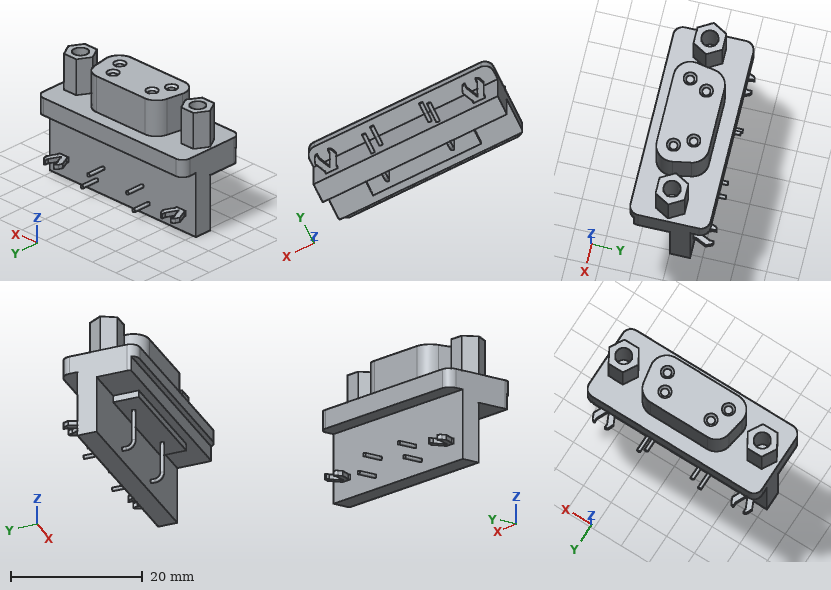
import cadquery as cq
import math


flange_length = 31.2
flange_front = -6.1
flange_back = 6.4
flange_corner_radius = 1.5
flange_front_thickness = 2.05
flange_back_thickness = 3.0
body_front = -5.25
body_depth = 4.52

foot_front = 0.4
foot_back = 3.55
foot_bottom = -14.0

insert_length = 18.3
insert_front = -3.85
insert_bottom = -5.65

shell_height = 6.18
shell_depth = 8.05
shell_side_angle = 10.0
shell_mean_width = 16.05
shell_corner_radius = 2.6

standoff_spacing = 25.0
standoff_across_flats = 4.52
standoff_bore = 2.62

row_pitch = 2.85
front_row_spacing = 11.0
back_row_spacing = 8.3
countersink_diameter = 2.03
countersink_floor_diameter = 1.25
pin_diameter = 0.6
pin_bend_radius = 1.15
tail_end = 6.77
front_tail_z = -11.95
back_tail_z = -9.42

clip_z = -10.7
clip_thickness = 0.78
clip_leg_angle = 25.0
clip_shoulder_offset = 1.5
clip_shoulder_angle = 22.0
clip_root_y = 3.95
clip_barb_y = 5.68
clip_shoulder_y = flange_back
clip_gap_half_width = 0.9
clip_gap_straight_y = 6.1

EMBED = 0.3


def block(x_size, y_range, z_range):
    """Box centred on X that fills the given Y and Z ranges."""
    y_min, y_max = y_range
    z_min, z_max = z_range
    return (
        cq.Workplane("XY")
        .box(x_size, y_max - y_min, z_max - z_min, centered=(True, False, False))
        .translate((0, y_min, z_min))
    )


def make_body():
    """Flange with a stepped underside, the foot and the insert."""
    flange = block(flange_length, (flange_front, flange_back), (-body_depth, 0))
    flange = flange.edges("|Z").fillet(flange_corner_radius)
    front_step = block(flange_length, (flange_front, body_front), (-body_depth, -flange_front_thickness))
    back_step = block(flange_length, (foot_back, flange_back), (-body_depth, -flange_back_thickness))
    foot = block(flange_length, (foot_front, foot_back), (foot_bottom, -flange_back_thickness))
    insert = block(insert_length, (insert_front, foot_front), (insert_bottom, -body_depth))
    return flange.cut(front_step).cut(back_step).union(foot).union(insert)


def make_shell():
    """Tapered D-shaped boss with rounded corners."""
    half_depth = shell_depth / 2
    side_run = half_depth * math.tan(math.radians(shell_side_angle))
    front_half = shell_mean_width / 2 + side_run
    back_half = shell_mean_width / 2 - side_run
    outline = [
        (-front_half, -half_depth),
        (front_half, -half_depth),
        (back_half, half_depth),
        (-back_half, half_depth),
    ]
    shell = cq.Workplane("XY").polyline(outline).close().extrude(shell_height)
    return shell.edges("|Z").fillet(shell_corner_radius)


def make_standoff(x):
    """Hexagonal post with corners on the X axis, bored down to the flange."""
    across_corners = standoff_across_flats / math.cos(math.pi / 6)
    return (
        cq.Workplane("XY")
        .center(x, 0)
        .polygon(6, across_corners)
        .circle(standoff_bore / 2)
        .extrude(shell_height)
    )


def make_countersink(x, y):
    """45-degree conical recess whose flat floor is the contact's end."""
    depth = (countersink_diameter - countersink_floor_diameter) / 2
    return cq.Workplane("XY").add(
        cq.Solid.makeCone(
            countersink_diameter / 2,
            countersink_floor_diameter / 2,
            depth,
            pnt=cq.Vector(x, y, shell_height),
            dir=cq.Vector(0, 0, -1),
        )
    )


def make_tail(x, z):
    """Straight pin that leaves the back of the foot."""
    start = foot_back - EMBED
    return cq.Workplane("XY").add(
        cq.Solid.makeCylinder(
            pin_diameter / 2, tail_end - start, pnt=cq.Vector(x, start, z), dir=cq.Vector(0, 1, 0)
        )
    )


def make_bent_pin(x):
    """Pin that drops from the insert and turns back into the foot."""
    pin_y = -row_pitch / 2
    top_z = insert_bottom + EMBED
    bend_centre_y = pin_y + pin_bend_radius
    bend_centre_z = front_tail_z + pin_bend_radius
    bend_reach = pin_bend_radius * math.cos(math.pi / 4)
    path = (
        cq.Workplane("YZ", origin=(x, 0, 0))
        .moveTo(pin_y, top_z)
        .lineTo(pin_y, bend_centre_z)
        .threePointArc(
            (bend_centre_y - bend_reach, bend_centre_z - bend_reach),
            (bend_centre_y, front_tail_z),
        )
        .lineTo(foot_front + EMBED, front_tail_z)
    )
    section = cq.Workplane("XY", origin=(x, pin_y, top_z)).circle(pin_diameter / 2)
    return section.sweep(path)


def make_clip(clip_x):
    """Stem that splits into two leaning legs, each with a barb and a rounded tip."""
    leg_slope = math.tan(math.radians(clip_leg_angle))
    shoulder_slope = math.tan(math.radians(clip_shoulder_angle))
    barb_offset = clip_shoulder_offset + shoulder_slope * (clip_shoulder_y - clip_barb_y)
    stem_half_width = barb_offset - leg_slope * (clip_barb_y - clip_root_y)
    notch_y = clip_gap_straight_y - clip_gap_half_width / leg_slope
    stem_start = foot_back - EMBED
    half = (
        cq.Workplane("XY")
        .moveTo(0, stem_start)
        .lineTo(stem_half_width, stem_start)
        .lineTo(stem_half_width, clip_root_y)
        .lineTo(barb_offset, clip_barb_y)
        .lineTo(clip_shoulder_offset, clip_shoulder_y)
        .tangentArcPoint((clip_gap_half_width, tail_end), relative=False)
        .lineTo(clip_gap_half_width, clip_gap_straight_y)
        .lineTo(0, notch_y)
        .close()
        .extrude(clip_thickness)
    )
    clip = half.union(half.mirror("YZ"))
    return clip.translate((clip_x, 0, clip_z - clip_thickness / 2))


result = make_body().union(make_shell())

for side in (-1, 1):
    front_x = side * front_row_spacing / 2
    back_x = side * back_row_spacing / 2
    standoff_x = side * standoff_spacing / 2

    result = result.union(make_standoff(standoff_x))
    result = result.cut(make_countersink(front_x, -row_pitch / 2))
    result = result.cut(make_countersink(back_x, row_pitch / 2))
    result = result.union(make_bent_pin(front_x))
    result = result.union(make_tail(front_x, front_tail_z))
    result = result.union(make_tail(back_x, back_tail_z))
    result = result.union(make_clip(standoff_x))